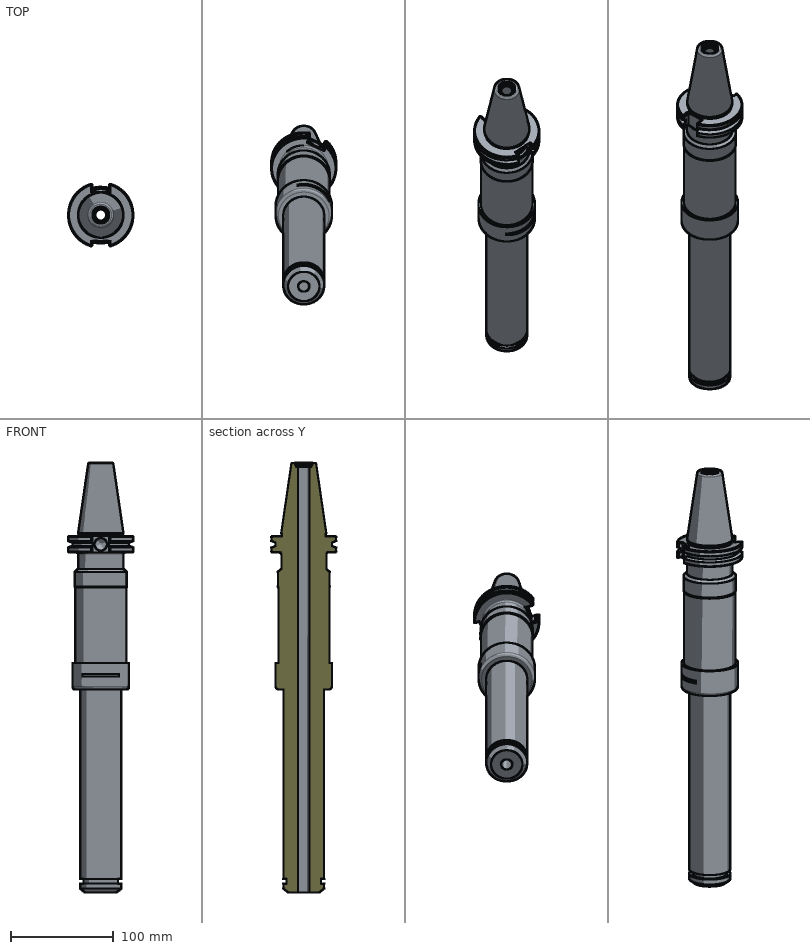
import cadquery as cq
import math

length = 418.0
gauge_height = 349.5
gauge_dia = 44.5
taper_ratio = 7 / 24
nose_round_height = 1.5
nose_round_radius = 2.0
undercut_dia = 43.0
undercut_slope = 1.0

flange_dia = 63.5
flange_top = 346.5
flange_bottom = 330.5
flange_chamfer = 1.0
root_fillet = 1.5
groove_floor_dia = 55.0
groove_floor_width = 3.0
groove_mouth_width = 6.3

neck_dia = gauge_dia
collar_cone_top = 314.5
collar_top = 311.7
collar_bottom = 297.5
collar_dia = 51.0
body_dia = 50.0
body_step_top = 296.3
nut_top = 223.0
nut_bottom = 197.2
nut_dia = 55.0
nut_round = 3.0

tube_dia = 40.0
ring_gap_top = 13.5
ring_gap_dia = 34.0
ring_top = 8.8
ring_cone_top = 3.8
end_face_dia = 30.5

bore_dia = 11.0
seat_dia = 14.0
seat_depth = 4.0
mouth_dia = 16.5
mouth_depth = 2.0

slot_width = 16.5
slot_edge_chamfer = 1.3
front_slot_floor = 25.0
back_slot_floor = 22.5

chip_hole_dia = 12.0
chip_hole_depth = 4.0
drill_tip_angle = 118

marking_height = 2.5
marking_middle = 211.0
marking_width = 35.0
marking_depth = 0.5

flange_radius = flange_dia / 2
flange_middle = (flange_top + flange_bottom) / 2
flange_half_height = (flange_top - flange_bottom) / 2
neck_radius = neck_dia / 2
body_radius = body_dia / 2
collar_radius = collar_dia / 2
nut_radius = nut_dia / 2
tube_radius = tube_dia / 2
gap_radius = ring_gap_dia / 2


def taper_radius(height):
    """Radius of the tool taper at a given height."""
    return (gauge_dia - taper_ratio * (height - gauge_height)) / 2


def make_shank():
    """Solid of revolution with the whole outer outline, from the nose down."""
    groove_radius = groove_floor_dia / 2
    round_start = length - nose_round_height
    return (
        cq.Workplane("XZ")
        .moveTo(0, length)
        .lineTo(taper_radius(length) - nose_round_height, length)
        .radiusArc((taper_radius(round_start), round_start), nose_round_radius)
        .lineTo(gauge_dia / 2, gauge_height)
        .lineTo(undercut_dia / 2, gauge_height - undercut_slope)
        .lineTo(undercut_dia / 2, flange_top)
        .lineTo(flange_radius - flange_chamfer, flange_top)
        .lineTo(flange_radius, flange_top - flange_chamfer)
        .lineTo(flange_radius, flange_middle + groove_mouth_width / 2)
        .lineTo(groove_radius, flange_middle + groove_floor_width / 2)
        .lineTo(groove_radius, flange_middle - groove_floor_width / 2)
        .lineTo(flange_radius, flange_middle - groove_mouth_width / 2)
        .lineTo(flange_radius, flange_bottom + flange_chamfer)
        .lineTo(flange_radius - flange_chamfer, flange_bottom)
        .lineTo(neck_radius + root_fillet, flange_bottom)
        .radiusArc((neck_radius, flange_bottom - root_fillet), -root_fillet)
        .lineTo(neck_radius, collar_cone_top)
        .lineTo(collar_radius, collar_top)
        .lineTo(collar_radius, collar_bottom)
        .lineTo(body_radius, body_step_top)
        .lineTo(body_radius, nut_top)
        .lineTo(nut_radius, nut_top)
        .lineTo(nut_radius, nut_bottom + nut_round)
        .radiusArc((nut_radius - nut_round, nut_bottom), nut_round)
        .lineTo(tube_radius, nut_bottom)
        .lineTo(tube_radius, ring_gap_top)
        .lineTo(gap_radius, ring_gap_top)
        .lineTo(gap_radius, ring_top)
        .lineTo(tube_radius, ring_top)
        .lineTo(tube_radius, ring_cone_top)
        .lineTo(end_face_dia / 2, 0)
        .lineTo(0, 0)
        .close()
        .revolve(360, (0, 0, 0), (0, 1, 0))
    )


def make_bore():
    """Through bore and its counterbores, as (diameter, depth) cylinders from the top."""
    bore = cq.Workplane("XY").circle(bore_dia / 2).extrude(length)
    for diameter, depth in ((seat_dia, seat_depth), (mouth_dia, mouth_depth)):
        step = cq.Workplane("XY", origin=(0, 0, length)).circle(diameter / 2).extrude(-depth)
        bore = bore.union(step)
    return bore


def make_slot(side, floor):
    """Drive slot on the +Y (side = 1) or -Y (side = -1) flank, chamfered along its edges."""
    half = slot_width / 2
    wide = half + slot_edge_chamfer
    chamfer_end = math.sqrt(flange_radius**2 - wide**2)
    chamfer_start = chamfer_end - slot_edge_chamfer
    mouth = half + flange_radius - chamfer_start
    channel = (
        cq.Workplane("XY")
        .polyline([
            (-half, floor),
            (half, floor),
            (half, chamfer_start),
            (mouth, flange_radius),
            (-mouth, flange_radius),
            (-half, chamfer_start),
        ])
        .close()
        .extrude(flange_half_height + root_fillet, both=True)
    )
    top_edge_chamfer = (
        cq.Workplane("XY", origin=(0, floor + flange_radius / 2, flange_half_height))
        .rect(2 * wide, flange_radius)
        .extrude(-slot_edge_chamfer, taper=45)
    )
    slot = channel.union(top_edge_chamfer).union(top_edge_chamfer.mirror("XY"))
    if side < 0:
        slot = slot.mirror("XZ")
    return slot.translate((0, 0, flange_middle))


def make_chip_hole():
    """Radial blind hole with a conical end in the floor of the -Y slot."""
    radius = chip_hole_dia / 2
    shoulder = front_slot_floor - chip_hole_depth
    tip = shoulder - radius / math.tan(math.radians(drill_tip_angle / 2))
    return (
        cq.Workplane("XY")
        .moveTo(0, -front_slot_floor)
        .lineTo(radius, -front_slot_floor)
        .lineTo(radius, -shoulder)
        .lineTo(0, -tip)
        .close()
        .revolve(360, (0, 0, 0), (0, 1, 0))
        .translate((0, 0, flange_middle))
    )


def make_marking():
    """Thin shallow groove part way round the -Y face of the nut."""
    ring = (
        cq.Workplane("XY", origin=(0, 0, marking_middle))
        .circle(nut_radius)
        .circle(nut_radius - marking_depth)
        .extrude(marking_height / 2, both=True)
    )
    window = cq.Workplane("XY", origin=(0, -nut_radius, marking_middle)).box(
        marking_width, nut_dia, marking_height
    )
    return ring.intersect(window)


result = (
    make_shank()
    .cut(make_slot(-1, front_slot_floor))
    .cut(make_slot(1, back_slot_floor))
    .cut(make_chip_hole())
    .cut(make_marking())
    .cut(make_bore())
)